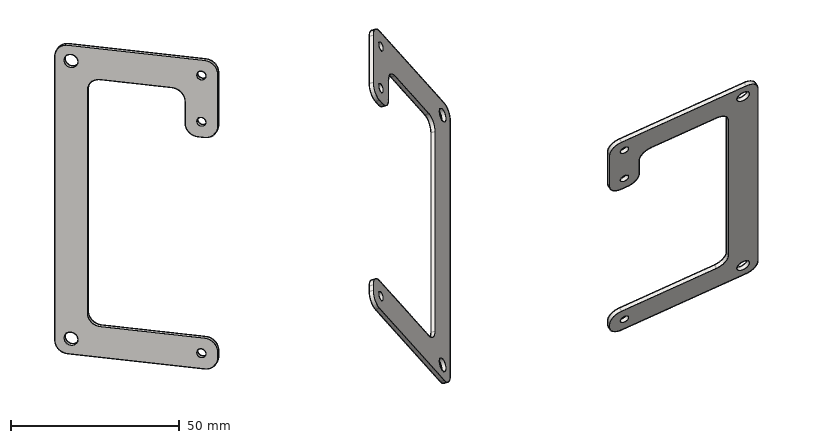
import cadquery as cq

width = 50.0
height = 100.0
thickness = 1.4

band = 10.0
hook_length = 25.0
corner_radius = 4.0

spine_hole_diameter = 4.2
arm_hole_diameter = 2.8
hole_inset = band / 2
hook_hole_drop = hook_length - hole_inset

left_x = hole_inset
right_x = width - hole_inset
bottom_z = hole_inset
top_z = height - hole_inset


def make_plate():
    """Flat C with a short hook hanging from the end of the top arm."""
    outline = [
        (0, 0),
        (width, 0),
        (width, band),
        (band, band),
        (band, height - band),
        (width - band, height - band),
        (width - band, height - hook_length),
        (width, height - hook_length),
        (width, height),
        (0, height),
    ]
    plate = cq.Workplane("XZ").polyline(outline).close().extrude(thickness)
    return plate.edges("|Y").fillet(corner_radius)


def make_holes(centres, diameter):
    """Cylinders running through the plate thickness."""
    return cq.Workplane("XZ").pushPoints(centres).circle(diameter / 2).extrude(thickness)


spine_holes = make_holes([(left_x, bottom_z), (left_x, top_z)], spine_hole_diameter)
arm_holes = make_holes(
    [(right_x, bottom_z), (right_x, top_z), (right_x, height - hook_hole_drop)],
    arm_hole_diameter,
)

result = make_plate().cut(spine_holes).cut(arm_holes)